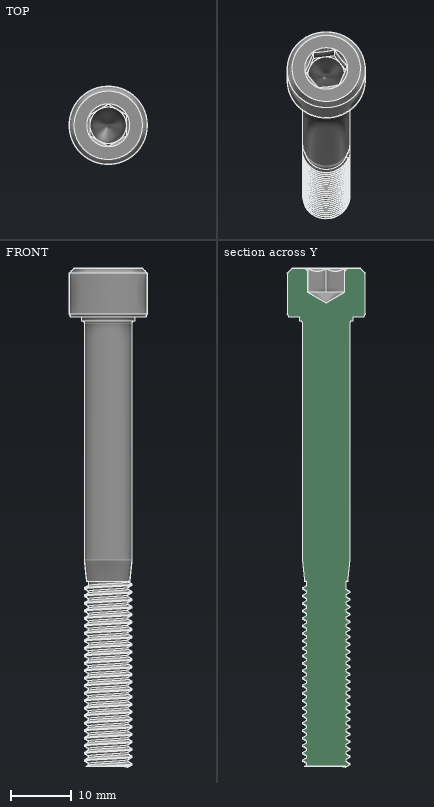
import cadquery as cq
import math

overall_length = 83.0

head_diameter = 13.0
head_height = 8.1
head_top_chamfer = 0.8
head_bottom_chamfer_height = 0.5
head_bottom_chamfer_width = 0.25

shank_diameter = 8.0
shank_end_height = 34.45
neck_end_diameter = 7.2
collar_diameter = 9.0
collar_height = 0.7
collar_fillet = 0.3

thread_pitch = 1.25
thread_turns = 24
thread_depth = 0.7
thread_half_angle = math.radians(30)
crest_flat = 0.2
ridge_overlap = 0.1
end_face_height = 0.2
lead_in_cut_depth = 2 * thread_pitch

socket_width = 6.1
socket_depth = 4.0
socket_point_angle = math.radians(120)
socket_mouth_diameter = 7.1

head_radius = head_diameter / 2
shank_radius = shank_diameter / 2
core_radius = shank_radius - thread_depth
head_base = overall_length - head_height
collar_base = head_base - collar_height

ridge_inner_radius = core_radius - ridge_overlap
crest_half = crest_flat / 2
ridge_base_half = crest_half + (shank_radius - ridge_inner_radius) * math.tan(thread_half_angle)
neck_end_height = thread_turns * thread_pitch + 2 * ridge_base_half


def make_body():
    """Head, collar, shank, tapered neck and thread core turned as one profile."""
    profile = (
        cq.Workplane("XZ")
        .moveTo(0, end_face_height)
        .lineTo(core_radius, end_face_height)
        .lineTo(core_radius, neck_end_height)
        .lineTo(neck_end_diameter / 2, neck_end_height)
        .lineTo(shank_radius, shank_end_height)
        .lineTo(shank_radius, collar_base - collar_fillet)
        .radiusArc((shank_radius + collar_fillet, collar_base), collar_fillet)
        .lineTo(collar_diameter / 2, collar_base)
        .lineTo(collar_diameter / 2, head_base)
        .lineTo(head_radius - head_bottom_chamfer_width, head_base)
        .lineTo(head_radius, head_base + head_bottom_chamfer_height)
        .lineTo(head_radius, overall_length - head_top_chamfer)
        .lineTo(head_radius - head_top_chamfer, overall_length)
        .lineTo(0, overall_length)
        .close()
    )
    return profile.revolve(360, (0, 0, 0), (0, 1, 0))


def make_ridge(start_height, turns):
    """Right-hand V ridge whose centre starts on the +X side at the given height."""
    helix = cq.Wire.makeHelix(thread_pitch, turns * thread_pitch, core_radius)
    ridge = (
        cq.Workplane("XZ")
        .moveTo(ridge_inner_radius, -ridge_base_half)
        .lineTo(shank_radius, -crest_half)
        .lineTo(shank_radius, crest_half)
        .lineTo(ridge_inner_radius, ridge_base_half)
        .close()
        .sweep(cq.Workplane(obj=helix), isFrenet=True)
    )
    return ridge.translate((0, 0, start_height))


def make_lead_in():
    """One more turn below the full ridge, cut flush with the end face."""
    below_end_face = (
        cq.Workplane("XY", origin=(0, 0, end_face_height))
        .rect(head_diameter, head_diameter)
        .extrude(-lead_in_cut_depth)
    )
    return make_ridge(ridge_base_half - thread_pitch, 1).cut(below_end_face)


def make_cone(radius, height, top):
    """Downward-pointing cone whose base circle lies at the height `top`."""
    return cq.Workplane(obj=cq.Solid.makeCone(0, radius, height, pnt=cq.Vector(0, 0, top - height)))


def make_socket():
    """Hexagonal recess with a drill-point bottom and a countersunk mouth."""
    corner_diameter = socket_width / math.cos(math.pi / 6)
    hexagon = (
        cq.Workplane("XY", origin=(0, 0, overall_length))
        .transformed(rotate=(0, 0, 30))
        .polygon(6, corner_diameter)
        .extrude(-socket_depth)
    )
    point_radius = socket_width / 2
    point_height = point_radius / math.tan(socket_point_angle / 2)
    drill_point = make_cone(point_radius, point_height, overall_length - socket_depth)

    mouth_radius = socket_mouth_diameter / 2
    mouth = make_cone(mouth_radius, mouth_radius, overall_length)
    return hexagon.union(drill_point).union(mouth)


full_ridge = make_ridge(ridge_base_half, thread_turns)
screw = make_body().union(full_ridge).union(make_lead_in()).cut(make_socket())
result = screw.solids()